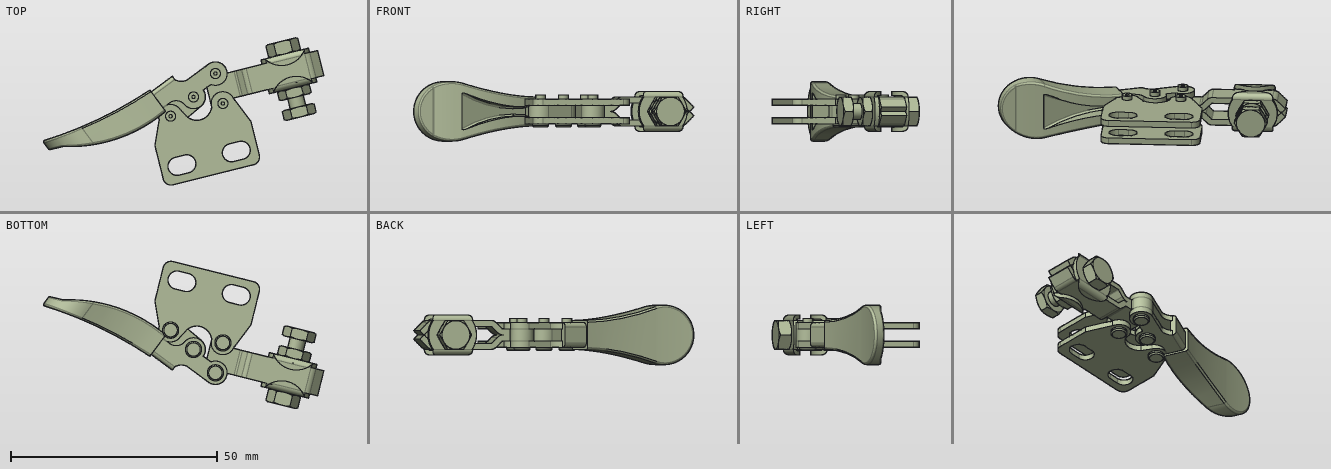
import cadquery as cq
import math

CLAMP_TILT = 14.0
LEVER_TILT = 22.5

SHEET = 1.5
INNER_LEVEL = SHEET
OUTER_LEVEL = 2 * SHEET
BOSS_RADIUS = 2.85

ARM_PIVOT = (0.0, 0.0)
LEVER_PIVOT = (0.0, 7.5)
LINK_PIVOT = (-6.5, 3.25)
BASE_PIVOT = (-13.05, 0.1)

PLATE_LEFT = -18.5
PLATE_RIGHT = 5.6
PLATE_BOTTOM = -16.25
PLATE_SHOULDER = -5.9
PLATE_CORNER = 2.0
BAY_CENTRE = (-6.25, 1.1)
BAY_RADIUS = 3.6
SLOT_LENGTH = 6.8
SLOT_WIDTH = 4.35
SLOT_SPACING = 13.6
SLOT_MIDDLE = (-6.45, -12.1)

LINK_WIDTH = 5.85

ARM_BOTTOM = 0.6
ARM_WIDTH = 6.3
ARM_TOP = ARM_BOTTOM + ARM_WIDTH
ARM_MIDDLE = ARM_BOTTOM + ARM_WIDTH / 2
ARM_LEVEL = 3.55
ARM_STEP_START = 4.8
ARM_TIP = 25.45
STEP_ROOT_RADIUS = 0.75
STEP_RADIUS = 1.6
TIP_RADIUS = 1.8
TIP_OVERLAP = 0.035

WASHER_RADIUS = 6.0
WASHER_SHEET = 1.1
WASHER_HEIGHT = 4.9
WASHER_BEND = 1.35
LIP_DEPTH = 2.7

BOLT_X = 17.5
SHANK_RADIUS = 2.0
HEX_RADIUS = 4.0
HEX_CHAMFER_RADIAL = 0.55
HEX_CHAMFER_AXIAL = 0.3
TOP_HEAD = 3.2
NUT = 2.3
BOTTOM_HEAD = 2.5
BOLT_BOTTOM = -7.75

RIVET_RADIUS = 1.2
RIVET_TOP = 4.0
RIVET_HEAD_RADIUS = 2.0
RIVET_BOTTOM = 3.8
RIVET_CHAMFER = 0.35
RIVET_DIMPLE_RADIUS = 0.4
RIVET_DIMPLE_DEPTH = 0.5

WEB_TOP = 5.7
WEB_BEND = 1.0
WEB_END = -8.8
LEVER_SHOULDER = -6.5
LEVER_NOTCH = -1.5
GRIP_END = -15.2
GRIP_OVERLAP = 1.35
NECK_BOTTOM = -0.2
NECK_TOP = 6.25
NECK_HALF_WIDTH = 3.55
BULB_X = -36.25
BULB_WIDTH = 14.5
BULB_RADIUS = BULB_WIDTH / 2
TAPER_ANGLE = 19.1
PLAN_HEIGHT = 20.4
PLAN_DEPTH = 27.2
BULB_TIP = BULB_X - BULB_RADIUS
GRIP_EDGE = 0.5
FACET_START = (-40.2, 7.7)
FACET_BLEND = 0.7
POCKET_START = -34.35
POCKET_END = GRIP_END + 0.7
POCKET_START_HALF_WIDTH = 4.7
POCKET_END_HALF_WIDTH = 1.35
POCKET_FLOOR = 3.9
POCKET_HEIGHT = 5.45
POCKET_FILLET = 0.5


def mirrored_pair(body):
    """The body together with its mirror image below the mid-plane."""
    return body.union(body.mirror("XY"))


def boss(centre, bottom, height):
    """Round pivot eye."""
    return cq.Workplane().workplane(offset=bottom).center(*centre).circle(BOSS_RADIUS).extrude(height)


def lever_point(point):
    """A point of the clamp frame, expressed in the lever frame."""
    angle = math.radians(LEVER_TILT)
    dx = point[0] - LEVER_PIVOT[0]
    dy = point[1] - LEVER_PIVOT[1]
    return (
        dx * math.cos(angle) + dy * math.sin(angle),
        dy * math.cos(angle) - dx * math.sin(angle),
    )


def make_plates():
    """Two equal base plates with mounting slots."""
    outline = [
        (PLATE_LEFT, PLATE_BOTTOM),
        (PLATE_RIGHT, PLATE_BOTTOM),
        (PLATE_RIGHT, PLATE_SHOULDER),
        (BOSS_RADIUS, 0.55),
        ARM_PIVOT,
        (BAY_CENTRE[0], -0.7),
        (-9.1, -1.2),
        (-10.6, 1.5),
        BASE_PIVOT,
        (BASE_PIVOT[0] - BOSS_RADIUS, BASE_PIVOT[1]),
        (PLATE_LEFT, PLATE_SHOULDER),
    ]
    plate = cq.Workplane().workplane(offset=INNER_LEVEL).polyline(outline).close().extrude(SHEET)
    plate = plate.edges("|Z and <Y").fillet(PLATE_CORNER)
    plate = plate.union(boss(ARM_PIVOT, INNER_LEVEL, SHEET)).union(boss(BASE_PIVOT, INNER_LEVEL, SHEET))
    bay = cq.Workplane().center(*BAY_CENTRE).circle(BAY_RADIUS).extrude(OUTER_LEVEL)
    slots = (
        cq.Workplane()
        .center(*SLOT_MIDDLE)
        .rarray(SLOT_SPACING, 0.7, 2, 1)
        .slot2D(SLOT_LENGTH, SLOT_WIDTH)
        .extrude(OUTER_LEVEL)
    )
    return mirrored_pair(plate.cut(bay).cut(slots))


def make_link():
    """Straight link filling the gap between the base plates."""
    dx = LINK_PIVOT[0] - BASE_PIVOT[0]
    dy = LINK_PIVOT[1] - BASE_PIVOT[1]
    return (
        cq.Workplane()
        .workplane(offset=-INNER_LEVEL)
        .center((LINK_PIVOT[0] + BASE_PIVOT[0]) / 2, (LINK_PIVOT[1] + BASE_PIVOT[1]) / 2)
        .slot2D(math.hypot(dx, dy) + LINK_WIDTH, LINK_WIDTH, math.degrees(math.atan2(dy, dx)))
        .extrude(2 * INNER_LEVEL)
    )


def make_arm():
    """Two sheets that touch at the pivots, spread apart with 45 degree steps and close at the tip."""
    bend_shift = SHEET * math.tan(math.radians(22.5))
    end_shift = SHEET * math.sin(math.radians(45))
    step_end = ARM_STEP_START + ARM_LEVEL - SHEET
    tip_z = end_shift - TIP_OVERLAP
    tip_start = ARM_TIP - (ARM_LEVEL - tip_z)
    gap = ARM_LEVEL - SHEET
    profile = [
        (0, 0),
        (0, SHEET),
        (ARM_STEP_START, SHEET),
        (step_end, ARM_LEVEL),
        (tip_start, ARM_LEVEL),
        (ARM_TIP, tip_z),
        (ARM_TIP - end_shift, -TIP_OVERLAP),
        (tip_start - bend_shift, gap),
        (step_end + bend_shift, gap),
        (ARM_STEP_START + bend_shift, 0),
    ]
    strip = cq.Workplane("XZ", origin=(0, ARM_TOP, 0)).polyline(profile).close().extrude(ARM_WIDTH)
    bends = [
        (ARM_STEP_START, SHEET, STEP_ROOT_RADIUS),
        (ARM_STEP_START + bend_shift, 0, STEP_ROOT_RADIUS + SHEET),
        (step_end, ARM_LEVEL, STEP_RADIUS),
        (step_end + bend_shift, gap, STEP_RADIUS - SHEET),
        (tip_start, ARM_LEVEL, TIP_RADIUS),
        (tip_start - bend_shift, gap, TIP_RADIUS - SHEET),
    ]
    for x, z, radius in bends:
        edge = cq.selectors.NearestToPointSelector((x, ARM_MIDDLE, z))
        strip = strip.edges(edge).fillet(radius)
    root = (
        cq.Workplane()
        .center(0, LEVER_PIVOT[1] / 2)
        .rect(2 * BOSS_RADIUS, LEVER_PIVOT[1])
        .extrude(SHEET, both=True)
        .union(boss(ARM_PIVOT, -SHEET, 2 * SHEET))
        .union(boss(LEVER_PIVOT, -SHEET, 2 * SHEET))
    )
    return mirrored_pair(strip).union(root)


def make_washer():
    """Round washer whose two sides are folded over the upper edges of the arm, as on its +Y side."""
    outer = ARM_TOP + WASHER_SHEET
    fold_z = WASHER_HEIGHT - WASHER_BEND
    depth = LIP_DEPTH
    length = 2 * WASHER_RADIUS
    channel = (
        cq.Workplane()
        .box(length, depth, 2 * WASHER_HEIGHT)
        .edges("|X and >Y")
        .fillet(WASHER_BEND)
        .translate((BOLT_X, outer - depth / 2, 0))
    )
    inside = (
        cq.Workplane()
        .box(length, depth, 2 * (WASHER_HEIGHT - WASHER_SHEET))
        .edges("|X and >Y")
        .fillet(WASHER_BEND - WASHER_SHEET)
        .translate((BOLT_X, outer - WASHER_SHEET - depth / 2, 0))
    )
    channel = channel.cut(inside)
    middle = cq.Workplane().box(3 * length, 3 * length, 2 * fold_z).translate((BOLT_X, outer, 0))
    disc = (
        cq.Workplane("XZ", origin=(BOLT_X, outer, 0))
        .circle(WASHER_RADIUS)
        .extrude(depth)
        .intersect(middle)
    )
    lip_circle = (
        cq.Workplane(origin=(BOLT_X, outer - depth + WASHER_RADIUS, 0))
        .circle(WASHER_RADIUS)
        .extrude(WASHER_HEIGHT, both=True)
        .cut(middle)
    )
    return channel.intersect(disc).union(channel.intersect(lip_circle))


def hex_prism(bottom, height):
    """Hexagon on the bolt axis with its corners turned off at both ends."""
    hexagon = cq.Workplane("XZ", origin=(BOLT_X, bottom + height, 0)).polygon(6, 2 * HEX_RADIUS).extrude(height)
    turned = (
        cq.Workplane("XZ", origin=(BOLT_X, bottom + height, 0))
        .circle(HEX_RADIUS)
        .extrude(height)
        .faces("<Y")
        .chamfer(HEX_CHAMFER_AXIAL, HEX_CHAMFER_RADIAL)
        .faces(">Y")
        .chamfer(HEX_CHAMFER_AXIAL, HEX_CHAMFER_RADIAL)
    )
    return hexagon.intersect(turned)


def make_bolt():
    """Bolt across the arm with two washers, a hexagon outside each washer and a head at its lower end."""
    upper_seat = ARM_TOP + WASHER_SHEET
    lower_seat = ARM_BOTTOM - WASHER_SHEET
    shank = (
        cq.Workplane("XZ", origin=(BOLT_X, upper_seat, 0))
        .circle(SHANK_RADIUS)
        .extrude(upper_seat - BOLT_BOTTOM)
    )
    upper_washer = make_washer()
    lower_washer = upper_washer.mirror("XZ", (0, ARM_MIDDLE, 0))
    return (
        shank.union(upper_washer)
        .union(lower_washer)
        .union(hex_prism(upper_seat, TOP_HEAD))
        .union(hex_prism(lower_seat - NUT, NUT))
        .union(hex_prism(BOLT_BOTTOM, BOTTOM_HEAD))
    )


def make_lever():
    """Channel of two side sheets joined by a web next to the grip."""
    link = lever_point(LINK_PIVOT)
    start = GRIP_END - GRIP_OVERLAP
    sheet = (
        cq.Workplane()
        .workplane(offset=INNER_LEVEL)
        .moveTo(start, WEB_TOP)
        .lineTo(WEB_END, WEB_TOP)
        .lineTo(WEB_END, WEB_TOP - WEB_BEND)
        .threePointArc((-7.8, 3.5), (LEVER_SHOULDER, BOSS_RADIUS))
        .lineTo(0, BOSS_RADIUS)
        .lineTo(0, LEVER_NOTCH)
        .lineTo(link[0], LEVER_NOTCH)
        .lineTo(link[0] - BOSS_RADIUS, link[1])
        .threePointArc((-11.3, 0.15), (-13.1, 0.9))
        .lineTo(start, 0.75)
        .close()
        .extrude(SHEET)
        .union(boss((0, 0), INNER_LEVEL, SHEET))
        .union(boss(link, INNER_LEVEL, SHEET))
    )
    web = (
        cq.Workplane()
        .box(WEB_END - start, SHEET, 2 * OUTER_LEVEL)
        .translate(((WEB_END + start) / 2, WEB_TOP - SHEET / 2, 0))
    )
    lever = mirrored_pair(sheet).union(web)
    for z in (-OUTER_LEVEL, OUTER_LEVEL):
        edge = cq.selectors.NearestToPointSelector(((WEB_END + start) / 2, WEB_TOP, z))
        lever = lever.edges(edge).fillet(WEB_BEND)
    return lever


def make_grip():
    """Curved grip: a side profile limited by a round-ended plan outline, with a pocket below."""
    side = (
        cq.Workplane()
        .moveTo(GRIP_END, NECK_BOTTOM)
        .lineTo(GRIP_END, NECK_TOP)
        .threePointArc((-28.55, 7.8), (BULB_TIP - 0.7, 12.1))
        .lineTo(BULB_TIP - 0.7, 9.4)
        .lineTo(*FACET_START)
        .threePointArc((-28.15, 1.3), (GRIP_END, NECK_BOTTOM))
        .close()
        .extrude(BULB_RADIUS, both=True)
        .edges(cq.selectors.NearestToPointSelector((*FACET_START, 0)))
        .fillet(FACET_BLEND)
    )
    taper_angle = math.radians(TAPER_ANGLE)
    taper_start = (BULB_X + BULB_RADIUS * math.sin(taper_angle), BULB_RADIUS * math.cos(taper_angle))
    half_plan = (
        cq.Workplane("XZ", origin=(0, PLAN_HEIGHT, 0))
        .moveTo(BULB_TIP, 0)
        .threePointArc((BULB_X, BULB_RADIUS), taper_start)
        .tangentArcPoint((GRIP_END, NECK_HALF_WIDTH), relative=False)
        .lineTo(GRIP_END, 0)
    )
    plan = half_plan.mirrorX().extrude(PLAN_DEPTH)
    pocket = (
        cq.Workplane("XZ", origin=(0, POCKET_FLOOR, 0))
        .moveTo(POCKET_START, POCKET_START_HALF_WIDTH)
        .threePointArc((-27.9, 2.3), (POCKET_END, POCKET_END_HALF_WIDTH))
        .lineTo(POCKET_END, -POCKET_END_HALF_WIDTH)
        .threePointArc((-27.9, -2.3), (POCKET_START, -POCKET_START_HALF_WIDTH))
        .close()
        .extrude(POCKET_HEIGHT)
        .faces(">Y")
        .edges("not(|Z)")
        .fillet(POCKET_FILLET)
    )
    body = side.intersect(plan)
    body = body.edges("not(|Y or |Z)").fillet(GRIP_EDGE)
    return body.cut(pocket)


def make_rivet(centre):
    """Rivet with a plain upper end and a wider chamfered lower head."""
    return (
        cq.Workplane(origin=(*centre, -RIVET_BOTTOM))
        .circle(RIVET_HEAD_RADIUS)
        .extrude(RIVET_BOTTOM - OUTER_LEVEL)
        .faces("<Z")
        .chamfer(RIVET_CHAMFER)
        .faces(">Z")
        .workplane()
        .circle(RIVET_RADIUS)
        .extrude(OUTER_LEVEL + RIVET_TOP)
        .faces(">Z")
        .workplane()
        .circle(RIVET_DIMPLE_RADIUS)
        .cutBlind(-RIVET_DIMPLE_DEPTH)
    )


handle = make_lever().union(make_grip())
handle = handle.rotate((0, 0, 0), (0, 0, 1), LEVER_TILT).translate((*LEVER_PIVOT, 0))

clamp = make_plates()
for member in (make_link(), make_arm(), make_bolt(), handle):
    clamp = clamp.union(member, clean=False)
for pivot in (ARM_PIVOT, LEVER_PIVOT, LINK_PIVOT, BASE_PIVOT):
    clamp = clamp.union(make_rivet(pivot), clean=False)

result = clamp.rotate((0, 0, 0), (0, 0, 1), CLAMP_TILT)